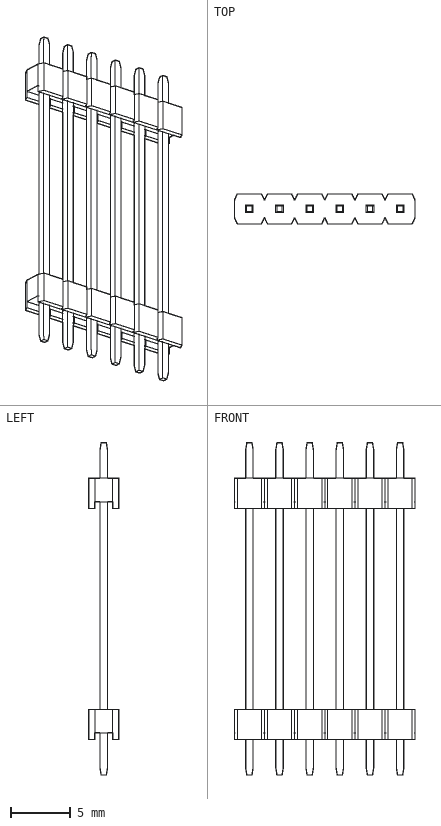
import cadquery as cq

pin_count = 6
row_length = 15.23
pitch = row_length / pin_count
pin_length = 28.0

housing_depth = 2.55
housing_height = 2.55
end_face_width = 1.5
corner_run = 0.25
corner_depth = (housing_depth - end_face_width) / 2
channel_depth = 0.55
pin_exposure = 3.0
housing_bottoms = (pin_exposure, pin_length - pin_exposure - housing_height)

pin_width = 0.65
tip_width = 0.45
tip_length = 0.6


def pin_positions():
    """X of every pin, with the row centred on the origin."""
    first = -(row_length - pitch) / 2
    return [first + index * pitch for index in range(pin_count)]


def housing_side(front_or_back):
    """Scalloped edge along one long side, from -X to +X; the sign picks the side."""
    crest_y = front_or_back * housing_depth / 2
    valley_y = front_or_back * end_face_width / 2
    points = [(-row_length / 2, valley_y)]
    for x in pin_positions():
        points.append((x - pitch / 2 + corner_run, crest_y))
        points.append((x + pitch / 2 - corner_run, crest_y))
        points.append((x + pitch / 2, valley_y))
    return points


def make_housing(bottom):
    """Row of bevelled cells with a lengthwise channel cut into the underside."""
    outline = housing_side(-1) + housing_side(1)[::-1]
    body = cq.Workplane("XY").workplane(offset=bottom).polyline(outline).close().extrude(housing_height)
    channel = (
        cq.Workplane("XY")
        .workplane(offset=bottom)
        .rect(row_length, end_face_width)
        .extrude(channel_depth)
    )
    return body.cut(channel)


def make_pin(x):
    """Square pin centred on X = x, narrowing at both ends."""
    shank = (
        cq.Workplane("XY", origin=(x, 0, tip_length))
        .rect(pin_width, pin_width)
        .extrude(pin_length - 2 * tip_length)
    )
    for end_z, shank_z in ((0, tip_length), (pin_length, pin_length - tip_length)):
        tip = (
            cq.Workplane("XY", origin=(x, 0, shank_z))
            .rect(pin_width, pin_width)
            .workplane(offset=end_z - shank_z)
            .rect(tip_width, tip_width)
            .loft(ruled=True)
        )
        shank = shank.union(tip)
    return shank


assembly = cq.Workplane("XY")
for housing_bottom in housing_bottoms:
    assembly = assembly.union(make_housing(housing_bottom))
for pin_x in pin_positions():
    assembly = assembly.union(make_pin(pin_x))

result = assembly